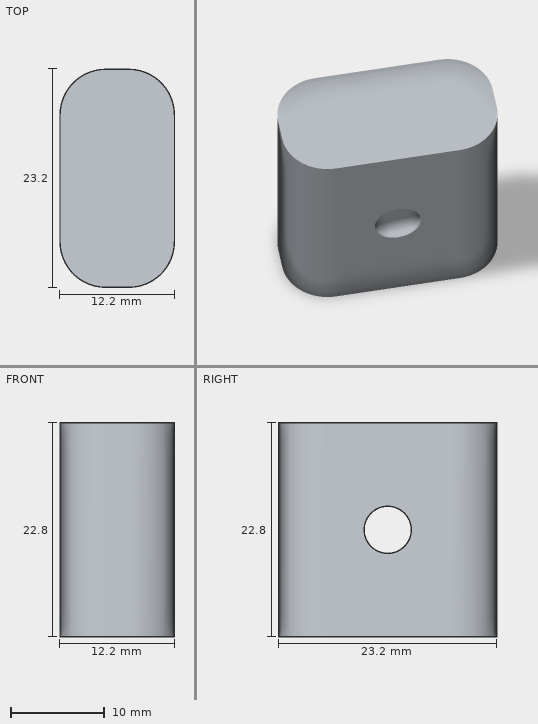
import cadquery as cq

width = 12.2
length = 23.23
height = 22.8

corner_radius = 4.88
hole_diameter = 5.0

block = cq.Workplane("XY").box(width, length, height).edges("|Z").fillet(corner_radius)

result = block.faces("<X").workplane(centerOption="CenterOfBoundBox").hole(hole_diameter)